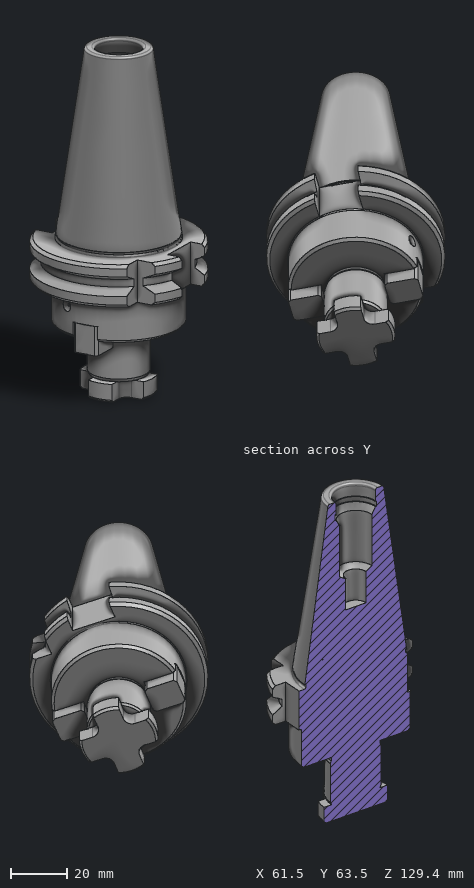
import cadquery as cq
import math

total_height = 129.4
taper_length = 68.5
gauge_offset = 3.2
flange_thickness = 15.9
body_bottom = 25.9
key_bottom = 20.6
key_top = 31.7
head_height = 6.9

gauge_height = total_height - taper_length
flange_top = gauge_height - gauge_offset
flange_bottom = flange_top - flange_thickness

taper_ratio = 7 / 24
gauge_radius = 22.3
small_end_radius = gauge_radius - taper_length * taper_ratio / 2
small_end_rounding = 0.9
taper_foot = flange_top + 1.7
foot_radius = gauge_radius + (gauge_height - taper_foot) * taper_ratio / 2
relief_radius = 22.0
relief_fillet = 0.8

flange_diameter = 63.5
flange_radius = flange_diameter / 2
flange_chamfer = 1.2
groove_radius = 27.8
groove_root_width = 2.8
groove_center = flange_top - 7.9
groove_half_angle = 30

body_diameter = 48.0
body_radius = body_diameter / 2
body_chamfer = 1.0
body_fillet = 0.4
neck_radius = 10.9
neck_height = 1.2
neck_flare_height = 0.9
spigot_radius = 11.3
spigot_tip_radius = 10.7
spigot_tip_height = 1.2

drive_slot_width = 16.0
left_slot_floor = 22.8
right_slot_floor = 25.0
notch_corner = 18.5

key_width = 10.0
key_outer = 23.7
key_inner = 11.5
key_chamfer = 1.0

head_radius = 14.0
head_chamfer = 0.9
arm_width = 9.7
arm_corner_radius = 3.2

bore_radius = 8.5
bore_mouth_fillet = 1.0
bore_groove_radius = 8.9
bore_groove_start = 5.4
bore_groove_end = 7.5
thread_radius = 7.0
thread_lead_in_angle = 30
thread_depth = 31.0
pilot_radius = 4.4
pilot_cone_angle = 59
pilot_depth = 45.3

side_hole_radius = 2.2
side_hole_inner_radius = 0.5
side_hole_depth = 1.0
side_hole_angle = 20
side_hole_height = 37.1


def revolve(outline):
    """Turn a closed outline of (radius, height) about the Z axis."""
    return outline.close().revolve(360, (0, 0), (0, 1))


def cone_height(radius_change, angle):
    """Height over which a cone at this angle to its axis changes radius."""
    return radius_change / math.tan(math.radians(angle))


def block(x_range, y_range, z_range):
    """Box spanning the given (low, high) pairs."""
    spans = [high - low for low, high in (x_range, y_range, z_range)]
    corner = (x_range[0], y_range[0], z_range[0])
    return cq.Workplane("XY").box(*spans, centered=False).translate(corner)


def turned_body():
    neck_bottom = body_bottom - neck_height
    root_half = groove_root_width / 2
    groove_rise = (flange_radius - groove_radius) * math.tan(math.radians(groove_half_angle))
    rim_half = root_half + groove_rise
    outline = (
        cq.Workplane("XZ")
        .moveTo(0, head_height)
        .lineTo(spigot_tip_radius, head_height)
        .lineTo(spigot_radius, head_height + spigot_tip_height)
        .lineTo(spigot_radius, neck_bottom - neck_flare_height)
        .lineTo(neck_radius, neck_bottom)
        .lineTo(neck_radius, body_bottom)
        .lineTo(body_radius - body_chamfer, body_bottom)
        .lineTo(body_radius, body_bottom + body_chamfer)
        .lineTo(body_radius, flange_bottom - body_fillet)
        .radiusArc((body_radius + body_fillet, flange_bottom), body_fillet)
        .lineTo(flange_radius - flange_chamfer, flange_bottom)
        .lineTo(flange_radius, flange_bottom + flange_chamfer)
        .lineTo(flange_radius, groove_center - rim_half)
        .lineTo(groove_radius, groove_center - root_half)
        .lineTo(groove_radius, groove_center + root_half)
        .lineTo(flange_radius, groove_center + rim_half)
        .lineTo(flange_radius, flange_top - flange_chamfer)
        .lineTo(flange_radius - flange_chamfer, flange_top)
        .lineTo(relief_radius + relief_fillet, flange_top)
        .radiusArc((relief_radius, flange_top + relief_fillet), relief_fillet)
        .lineTo(relief_radius, taper_foot)
        .lineTo(foot_radius, taper_foot)
        .lineTo(small_end_radius, total_height)
        .lineTo(0, total_height)
    )
    return revolve(outline).faces(">Z").edges().fillet(small_end_rounding)


def taper_bore():
    lead_in_end = bore_groove_end + cone_height(bore_radius - thread_radius, thread_lead_in_angle)
    pilot_start = thread_depth + cone_height(thread_radius - pilot_radius, pilot_cone_angle)
    outline = (
        cq.Workplane("XZ", origin=(0, 0, total_height))
        .moveTo(0, 0)
        .lineTo(bore_radius + bore_mouth_fillet, 0)
        .radiusArc((bore_radius, -bore_mouth_fillet), -bore_mouth_fillet)
        .lineTo(bore_radius, -bore_groove_start)
        .lineTo(bore_groove_radius, -bore_groove_start)
        .lineTo(bore_groove_radius, -bore_groove_end)
        .lineTo(bore_radius, -bore_groove_end)
        .lineTo(thread_radius, -lead_in_end)
        .lineTo(thread_radius, -thread_depth)
        .lineTo(pilot_radius, -pilot_start)
        .lineTo(pilot_radius, -pilot_depth)
        .lineTo(0, -pilot_depth)
    )
    return revolve(outline)


def flange_cutouts():
    flange_span = (flange_bottom, flange_top)
    slot_span = (-drive_slot_width / 2, drive_slot_width / 2)
    left_slot = block((-flange_diameter, -left_slot_floor), slot_span, flange_span)
    right_slot = block((right_slot_floor, flange_diameter), slot_span, flange_span)
    notch = block((notch_corner, flange_diameter), (-flange_diameter, -notch_corner), flange_span)
    return left_slot.union(right_slot).union(notch)


def key_seat():
    """Slot across the lower body on the -Y side."""
    half = key_width / 2
    return block((-half, half), (-flange_diameter, -key_inner), (body_bottom, key_top))


def driving_key():
    half = key_width / 2
    key = block((-half, half), (-key_outer, -key_inner), (key_bottom, key_top))
    return key.edges("|Z").chamfer(key_chamfer)


def screw_head():
    half = arm_width / 2
    reach = 2 * head_radius
    head = cq.Workplane("XY").circle(head_radius).extrude(head_height)
    head = head.faces("<Z").edges().chamfer(head_chamfer)
    gap = block((half, reach), (half, reach), (0, head_height))
    gap = gap.edges("|Z and <X and <Y").fillet(arm_corner_radius)
    for quarter in range(4):
        head = head.cut(gap.rotate((0, 0, 0), (0, 0, 1), 90 * quarter))
    return head


def side_hole():
    cone = cq.Solid.makeCone(
        side_hole_radius, side_hole_inner_radius, side_hole_depth,
        pnt=cq.Vector(0, -body_radius, side_hole_height), dir=cq.Vector(0, 1, 0),
    )
    return cq.Workplane(obj=cone).rotate((0, 0, 0), (0, 0, 1), -side_hole_angle)


result = turned_body().cut(taper_bore()).cut(flange_cutouts()).cut(side_hole())
for turn in (0, 180):
    result = result.cut(key_seat().rotate((0, 0, 0), (0, 0, 1), turn))
    result = result.union(driving_key().rotate((0, 0, 0), (0, 0, 1), turn))
result = result.union(screw_head())